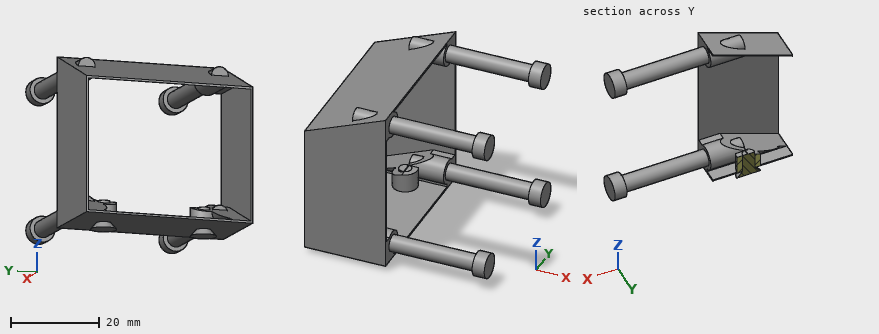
import cadquery as cq
import math

depth = 20.0
width = 40.0
rear_height = 39.6
slope = 22.0
wall = 0.5
rise = depth * math.tan(math.radians(slope))
roof_drop = wall / math.cos(math.radians(slope))

long_diameter = 4.0
long_head_diameter = 6.0
long_head_length = 3.0
screw_end_x = 44.0
screw_tip_x = 11.0
long_y = 16.0
lower_z = 4.0
upper_z = lower_z + 2 * long_y

short_diameter = 3.0
short_head_diameter = 6.0
short_head_length = 1.7
head_protrusion = 1.5
short_x = screw_tip_x
short_y = 12.0
short_tip_z = 5.0

boss_diameter = 6.0
block_inner_y = 15.0
block_reach = 2.4
post_diameter = 6.0
post_top_z = 5.1


def profile_prism(points, y_start, y_end):
    """Prism of an XZ outline between two Y positions."""
    return cq.Workplane("XZ", origin=(0, y_start, 0)).polyline(points).close().extrude(y_start - y_end)


def cylinder_x(diameter, x_start, x_end, y, z):
    return cq.Workplane("YZ", origin=(x_start, y, z)).circle(diameter / 2).extrude(x_end - x_start)


def cylinder_z(diameter, x, y, z_start, z_end):
    return cq.Workplane("XY", origin=(x, y, z_start)).circle(diameter / 2).extrude(z_end - z_start)


def under_slope(front_z):
    """Full-width region from the base up to a slope starting at front_z."""
    points = [(0, 0), (depth, 0), (depth, front_z + rise), (0, front_z)]
    return profile_prism(points, -width / 2, width / 2)


def make_long_screw(y, z):
    head = cylinder_x(long_head_diameter, screw_end_x - long_head_length, screw_end_x, y, z)
    return cylinder_x(long_diameter, screw_tip_x, screw_end_x, y, z).union(head)


def make_short_screw(y):
    outline = [
        (0, -head_protrusion),
        (short_head_diameter / 2, -head_protrusion),
        (short_diameter / 2, short_head_length - head_protrusion),
        (short_diameter / 2, short_tip_z),
        (0, short_tip_z),
    ]
    screw = cq.Workplane("XZ").polyline(outline).close().revolve(360, (0, 0, 0), (0, 1, 0))
    return screw.translate((short_x, y, 0))


def make_boss(side, axis_z, block_bottom, block_top):
    """Round boss along X, tied to the side wall by a block."""
    block_width = width / 2 - block_inner_y
    block = cq.Workplane("XY").box(depth, block_width, block_top - block_bottom, centered=(False, True, False))
    block = block.translate((0, side * (block_inner_y + block_width / 2), block_bottom))
    return block.union(cylinder_x(boss_diameter, 0, depth, side * long_y, axis_z))


def make_housing(screws):
    roof_front_z = rear_height - rise
    envelope = under_slope(roof_front_z)
    opening_side = width / 2 - wall
    opening_points = [
        (0, wall),
        (depth, wall),
        (depth, rear_height - roof_drop),
        (0, roof_front_z - roof_drop),
    ]
    housing = envelope.cut(profile_prism(opening_points, -opening_side, opening_side))
    ramp = under_slope(wall)
    for side in (-1, 1):
        lower = make_boss(side, lower_z, 0, lower_z + block_reach)
        post = cylinder_z(post_diameter, short_x, side * short_y, 0, post_top_z)
        upper = make_boss(side, upper_z, upper_z - block_reach, rear_height)
        housing = housing.union(lower.union(post).intersect(ramp))
        housing = housing.union(upper.intersect(envelope))
    for screw in screws:
        housing = housing.cut(screw)
    return housing


long_screws = [make_long_screw(side * long_y, z) for side in (-1, 1) for z in (lower_z, upper_z)]
short_screws = [make_short_screw(side * short_y) for side in (-1, 1)]
housing = make_housing(long_screws + short_screws)

bodies = [housing, *long_screws, *short_screws]
result = cq.Compound.makeCompound([body.val() for body in bodies])